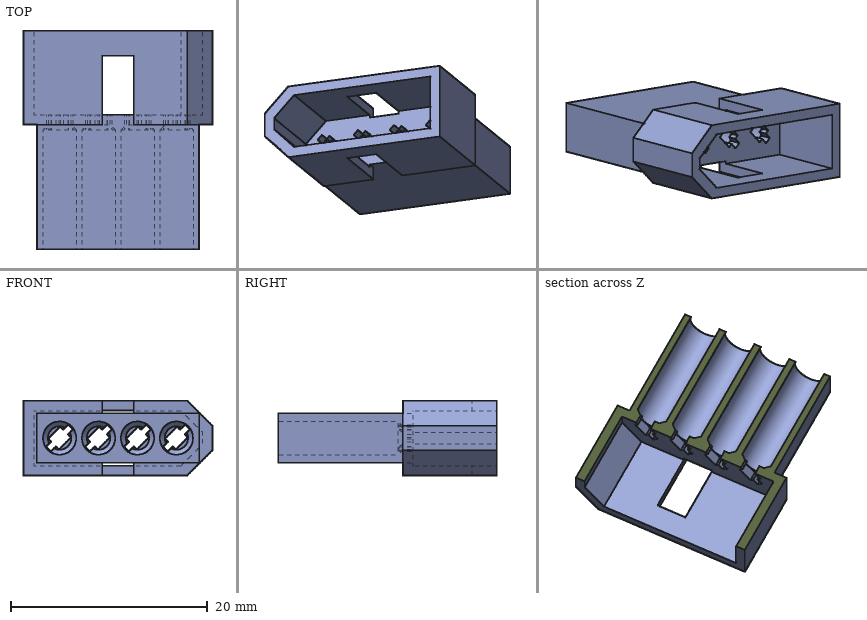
import cadquery as cq

width = 19.2
length = 22.23
height = 7.62

collar_depth = 9.55
collar_chamfer = 2.58
wall = 1.02
cavity_chamfer = 2.2

core_width = 16.5
core_height = 5.07

window_width = 3.15
window_rear_margin = 2.55

hole_count = 4
hole_pitch = 3.95
bore_front_diameter = 3.38
bore_rear_diameter = 2.38
bore_floor = 1.02
passage_length = 1.71
passage_width = 1.53
key_length = 3.18
key_width = 0.67
key_angle = 45.0

collar_front = length - collar_depth
cavity_front = collar_front + wall
bore_depth = cavity_front - bore_floor
bore_taper_length = (bore_front_diameter - bore_rear_diameter) / 2


def section(y):
    """XZ sketch plane at the given Y, with its normal along +Y and local x along +X."""
    return cq.Workplane(cq.Plane(origin=(0, y, 0), xDir=(1, 0, 0), normal=(0, 1, 0)))


def block(x_size, z_size, y_start, y_end):
    return section(y_start).rect(x_size, z_size).extrude(y_end - y_start)


def chamfered_block(x_size, z_size, y_start, y_end, chamfer):
    """Block whose two lengthwise edges on the +X side are chamfered."""
    return block(x_size, z_size, y_start, y_end).faces(">X").edges("|Y").chamfer(chamfer)


def make_collar():
    outer = chamfered_block(width, height, collar_front, length, collar_chamfer)
    cavity = chamfered_block(
        width - 2 * wall, height - 2 * wall, cavity_front, length, cavity_chamfer
    )
    return outer.cut(cavity)


def make_windows():
    opening = block(window_width, height, collar_front, length - window_rear_margin)
    return opening.cut(block(window_width, core_height, collar_front, cavity_front))


def make_contact_hole():
    taper_start = bore_depth - bore_taper_length
    bore = section(0).circle(bore_front_diameter / 2).extrude(taper_start)
    taper = (
        section(taper_start)
        .circle(bore_front_diameter / 2)
        .workplane(offset=bore_taper_length)
        .circle(bore_rear_diameter / 2)
        .loft()
    )
    passage = block(passage_length, passage_width, 0, cavity_front)
    key = block(key_length, key_width, 0, cavity_front)
    keyway = passage.union(key).rotate((0, 0, 0), (0, 1, 0), -key_angle)
    return bore.union(taper).union(keyway)


result = make_collar().union(block(core_width, core_height, 0, cavity_front))
result = result.cut(make_windows())
contact_hole = make_contact_hole()
for index in range(hole_count):
    hole_x = (index - (hole_count - 1) / 2) * hole_pitch
    result = result.cut(contact_hole.translate((hole_x, 0, 0)))